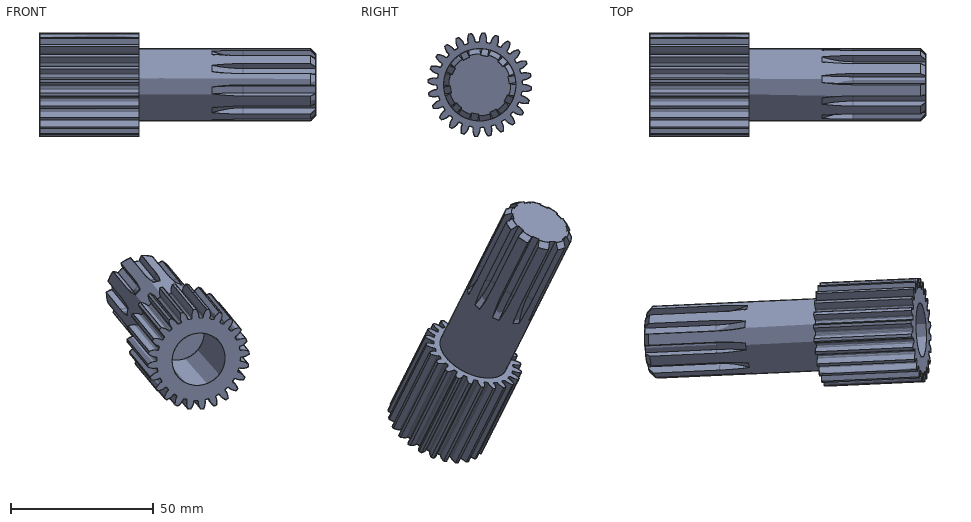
import cadquery as cq
import math

total_length = 96.9
gear_length = 34.9
shaft_radius = 12.7
bore_radius = 9.5
bore_depth = gear_length
end_chamfer = 1.8

tooth_count = 24
tip_radius = 18.2
pitch_radius = 16.9
root_radius = 15.0
pressure_angle = math.radians(20)
root_fillet = 0.4
first_gap_angle = 3.3

groove_count = 10
spline_tooth_width = 4.0
spline_floor_radius = 10.3
full_depth_start = 71.3
cutter_radius = 25.4
first_groove_angle = 9.0

cut_margin = 1.0
flank_samples = 6
run_out_angle = 60.0

base_radius = pitch_radius * math.cos(pressure_angle)


def polar(radius, angle):
    """Point at an angle from the local x axis."""
    return (radius * math.cos(angle), radius * math.sin(angle))


def involute(angle):
    return math.tan(angle) - angle


def gap_half_angle(radius):
    """Half of the angle a tooth gap spans at a radius on the involute flank."""
    pitch_half_angle = math.pi / tooth_count / 2
    flank_angle = math.acos(base_radius / radius)
    return pitch_half_angle - involute(pressure_angle) + involute(flank_angle)


def around_axis(body, count, first_angle):
    """Copies of a body, equally spaced around the X axis."""
    copies = cq.Workplane("YZ")
    for index in range(count):
        angle = first_angle + index * 360 / count
        copies = copies.add(body.rotate((0, 0, 0), (1, 0, 0), angle))
    return copies.combine()


def make_tooth_gap():
    """One gap centred on +Y: involute flanks, radial below the base circle."""
    outer_radius = tip_radius + cut_margin
    step = (outer_radius - base_radius) / flank_samples
    radii = [base_radius + index * step for index in range(flank_samples + 1)]
    upper_flank = [polar(radius, gap_half_angle(radius)) for radius in radii]
    lower_flank = [(y, -z) for y, z in reversed(upper_flank)]
    root_half_angle = gap_half_angle(base_radius)
    gap = (
        cq.Workplane("YZ")
        .moveTo(*polar(root_radius, root_half_angle))
        .lineTo(*upper_flank[0])
        .spline(upper_flank[1:], includeCurrent=True)
        .lineTo(*lower_flank[0])
        .spline(lower_flank[1:], includeCurrent=True)
        .lineTo(*polar(root_radius, -root_half_angle))
        .threePointArc((root_radius, 0), polar(root_radius, root_half_angle))
        .close()
        .extrude(gear_length)
    )
    root_corners = cq.selectors.BoxSelector(
        (-cut_margin, -root_radius, -root_radius),
        (gear_length + cut_margin, root_radius, root_radius),
    )
    return gap.edges("|X").edges(root_corners).fillet(root_fillet)


def groove_outline(x_position):
    """Groove section centred on +Y, its sides parallel to the spline teeth beside it."""
    outer_radius = shaft_radius + cut_margin
    half_pitch = math.pi / groove_count

    def half_angle(radius):
        return half_pitch - math.asin(spline_tooth_width / 2 / radius)

    floor_half_angle = half_angle(spline_floor_radius)
    outer_half_angle = half_angle(outer_radius)
    return (
        cq.Workplane("YZ", origin=(x_position, 0, 0))
        .moveTo(*polar(spline_floor_radius, -floor_half_angle))
        .threePointArc((spline_floor_radius, 0), polar(spline_floor_radius, floor_half_angle))
        .lineTo(*polar(outer_radius, outer_half_angle))
        .lineTo(*polar(outer_radius, -outer_half_angle))
        .close()
    )


def make_groove():
    """One spline groove: a straight length and a circular run-out."""
    straight = groove_outline(full_depth_start).extrude(total_length - full_depth_start)
    cutter_axis = spline_floor_radius + cutter_radius
    run_out = groove_outline(full_depth_start).revolve(
        run_out_angle, (cutter_axis, 0, 0), (cutter_axis, -1, 0)
    )
    return straight.union(run_out)


gear = cq.Workplane("YZ").circle(tip_radius).extrude(gear_length)
gear = gear.cut(around_axis(make_tooth_gap(), tooth_count, first_gap_angle))

shaft = cq.Workplane("YZ").circle(shaft_radius).extrude(total_length)
shaft = shaft.faces(">X").chamfer(end_chamfer)
shaft = shaft.cut(around_axis(make_groove(), groove_count, first_groove_angle))

bore = cq.Workplane("YZ").circle(bore_radius).extrude(bore_depth)

result = gear.union(shaft).cut(bore)